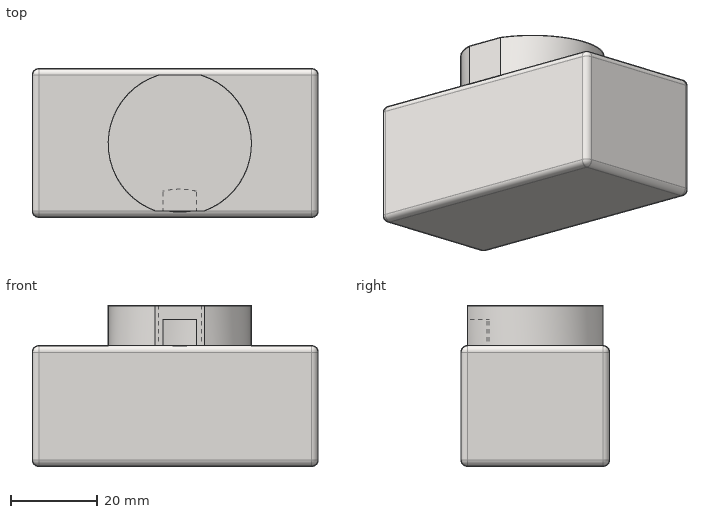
import cadquery as cq

body_length = 66.4
body_width = 34.5
body_height = 28.0
edge_radius = 1.5

total_height = 37.3
knob_height = total_height - body_height
knob_diameter = 33.25
knob_x = 1.05
knob_y = -0.1
flat_spacing = body_width - 2 * edge_radius

seat_diameter = 31.8

pocket_width = 7.85
pocket_height = 6.1
pocket_depth = 5.05
pocket_back_radius = seat_diameter / 2


def make_body():
    block = cq.Workplane("XY").box(body_length, body_width, body_height, centered=(True, True, False))
    return block.edges().fillet(edge_radius)


def make_knob():
    disc = (
        cq.Workplane("XY", origin=(knob_x, knob_y, body_height - edge_radius))
        .circle(knob_diameter / 2)
        .extrude(knob_height + edge_radius)
    )
    flats = cq.Workplane("XY").box(body_length, flat_spacing, total_height, centered=(True, True, False))
    return disc.intersect(flats)


def make_seat():
    return (
        cq.Workplane("XY", origin=(knob_x, knob_y, body_height - edge_radius))
        .circle(seat_diameter / 2)
        .extrude(edge_radius)
    )


def make_pocket():
    """Straight-sided pocket whose back wall is a concave arc."""
    front = -flat_spacing / 2
    slot = (
        cq.Workplane("XY", origin=(knob_x, front, body_height))
        .rect(pocket_width, 2 * pocket_depth)
        .extrude(pocket_height)
    )
    back_cylinder = (
        cq.Workplane("XY", origin=(knob_x, front + pocket_depth - pocket_back_radius, body_height))
        .circle(pocket_back_radius)
        .extrude(pocket_height)
    )
    return slot.intersect(back_cylinder)


result = make_body().union(make_seat()).union(make_knob()).cut(make_pocket())